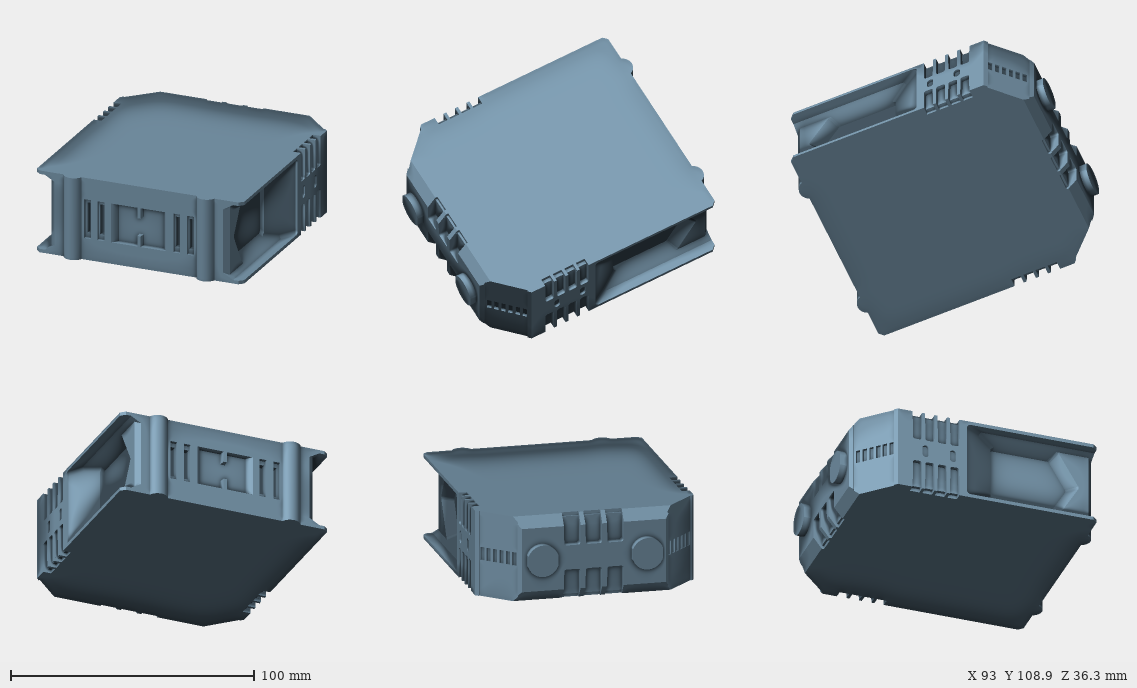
import cadquery as cq
import math

WIDTH = 93.0
HEIGHT = 36.3
BODY_LENGTH = 103.2
HALF_WIDTH = WIDTH / 2
HALF_HEIGHT = HEIGHT / 2
PLATE = 1.5
OVERRUN = 1.1
SELECT_GAP = 0.1

FRONT_CHAMFER = 1.9
CORNER_Y = 87.4
DIAGONAL_ANGLE = 45
BACK_HALF_WIDTH = HALF_WIDTH - (BODY_LENGTH - CORNER_Y)
BACK_CHAMFER_LENGTH = 3.6
BACK_CHAMFER_DEPTH = 4.6

PANEL_Y = (88.7, 101.8)
PANEL_DEPTH = 0.5
GROOVE_CENTRE_Y = 95.0
GROOVE_COUNT = 6
GROOVE_PITCH = 3.0
GROOVE_WIDTH = 2.0
GROOVE_DEPTH = 1.2
GROOVE_HEIGHT = 5.8

FOOT_X = 29.8
FOOT_RADIUS = 4.4
FOOT_PROJECTION = 2.7

STUD_X = 22.2
STUD_DIAMETER = 13.5
STUD_FLATS = 12.6
STUD_PROJECTION = 3.0

VENT_LENGTH = 13.0
VENT_FLARE = 0.16
VENT_FILLET = 1.0
SIDE_VENT_Y = 70.7
SIDE_VENT_COUNT = 4
SIDE_VENT_PITCH = 5.5
SIDE_VENT_WIDTH = 3.8
SIDE_VENT_DEPTH = 2.0
SIDE_VENT_PLATE_DEPTH = 3.5
BACK_VENT_COUNT = 3
BACK_VENT_PITCH = 9.2
BACK_VENT_WIDTH = 6.9
BACK_VENT_DEPTH = 3.7
BACK_VENT_PLATE_DEPTH = 4.6

DIMPLE_Y = (63.3, 75.3)
DIMPLE_WIDTH = 2.7
DIMPLE_HEIGHT = 5.5
DIMPLE_DEPTH = 1.1

POCKET_BACK_Y = 57.2
POCKET_DEPTH = 11.0
POCKET_RIM = 1.1
POCKET_SLOPE_END = (9.3, 43.7)
POCKET_STRAIGHT = 4.3
POCKET_HALF_HEIGHT = HALF_HEIGHT - PLATE
POCKET_FLOOR_HALF_HEIGHT = 12.8
POCKET_CORNER = 1.6
CHEVRON_CORNER = 1.6
SHELF_DEPTH = 6.5
SHELF_CHAMFER = (2.2, 1.9)
CHEVRON_TIP_Y = 5.9
CHEVRON_RISE = 0.6
CHEVRON_TIP_ROUND = 1.6
CHEVRON_LEAN = 0.95

WINDOW_HALF_WIDTH = 12.5
WINDOW_HALF_HEIGHT = 8.6
WINDOW_DEPTH = 2.8
WINDOW_FLOOR_HALF_WIDTH = 10.2
WINDOW_WALL_RADIUS = 5.0
RIB_LENGTH = 4.7
RIB_BASE_WIDTH = 2.1
RIB_TOP_WIDTH = 1.4
FRONT_VENT_X = (17.0, 23.1)
FRONT_VENT_WIDTH = 3.0
FRONT_VENT_LEDGE_DEPTH = 1.6
FRONT_VENT_DEPTH = 4.4
FRONT_VENT_INNER_LEDGE = 0.3
FRONT_VENT_OUTER_LEDGE = (0.3, 0.9)
FRONT_VENT_END_LEDGE = 1.9


def both_sides(shape):
    """The shape together with its mirror image in x."""
    return shape.union(shape.mirror("YZ"))


def top_and_bottom(shape):
    """The shape together with its mirror image in z."""
    return shape.union(shape.mirror("XY"))


def slab(points, height):
    """Plan outline extruded evenly about z = 0."""
    return cq.Workplane("XY").polyline(points).close().extrude(height / 2, both=True)


def mirrored_box(low, high):
    """Selector for edges centred inside a box or inside its mirror image in z."""
    upper = cq.selectors.BoxSelector(low, high)
    lower = cq.selectors.BoxSelector((low[0], low[1], -high[2]), (high[0], high[1], -low[2]))
    return upper + lower


def make_body():
    body = slab(
        [
            (HALF_WIDTH, FRONT_CHAMFER),
            (HALF_WIDTH, CORNER_Y),
            (BACK_HALF_WIDTH, BODY_LENGTH),
            (-BACK_HALF_WIDTH, BODY_LENGTH),
            (-HALF_WIDTH, CORNER_Y),
            (-HALF_WIDTH, FRONT_CHAMFER),
            (FRONT_CHAMFER - HALF_WIDTH, 0),
            (HALF_WIDTH - FRONT_CHAMFER, 0),
        ],
        HEIGHT,
    )
    edge_wedge = (
        cq.Workplane("YZ")
        .polyline(
            [
                (BODY_LENGTH - BACK_CHAMFER_LENGTH, HALF_HEIGHT),
                (BODY_LENGTH, HALF_HEIGHT),
                (BODY_LENGTH, HALF_HEIGHT - BACK_CHAMFER_DEPTH),
            ]
        )
        .close()
        .extrude(HALF_WIDTH, both=True)
    )
    return body.cut(top_and_bottom(edge_wedge))


def make_feet():
    foot = cq.Workplane("XY").circle(FOOT_RADIUS).extrude(HALF_HEIGHT, both=True)
    return both_sides(foot.translate((FOOT_X, FOOT_RADIUS - FOOT_PROJECTION, 0)))


def make_studs():
    start = cq.Workplane("XZ", origin=(STUD_X, BODY_LENGTH, 0))
    stud = start.circle(STUD_DIAMETER / 2).extrude(-STUD_PROJECTION)
    flats = start.rect(STUD_FLATS, STUD_DIAMETER).extrude(-STUD_PROJECTION)
    return both_sides(stud.intersect(flats))


def make_diagonal_panels():
    """Shallow panel with finger grooves, cut into each diagonal face."""
    low_y, high_y = PANEL_Y
    edge_sum = HALF_WIDTH + CORNER_Y
    step = PANEL_DEPTH / math.sqrt(2)
    low_x, high_x = edge_sum - low_y, edge_sum - high_y
    cutter = slab(
        [
            (low_x + OVERRUN, low_y + OVERRUN),
            (high_x + OVERRUN, high_y + OVERRUN),
            (high_x - step, high_y - step),
            (low_x - step, low_y - step),
        ],
        HEIGHT,
    )
    groove = cq.Workplane("XY").box(2 * (PANEL_DEPTH + GROOVE_DEPTH), GROOVE_WIDTH, GROOVE_HEIGHT)
    for index in range(GROOVE_COUNT):
        along = (index - (GROOVE_COUNT - 1) / 2) * GROOVE_PITCH
        placed = groove.translate((0, along, 0)).rotate((0, 0, 0), (0, 0, 1), DIAGONAL_ANGLE)
        cutter = cutter.union(placed.translate((edge_sum - GROOVE_CENTRE_Y, GROOVE_CENTRE_Y, 0)))
    return both_sides(cutter)


def make_vent(width, depth, plate_depth):
    """Vent cutter running in from the top and bottom edges of a wall at y = 0; depth is along +y."""
    half = width / 2
    mouth = half + VENT_FLARE
    bottom = HALF_HEIGHT - VENT_LENGTH
    slot = (
        cq.Workplane("XZ", origin=(0, depth, 0))
        .polyline([(-half, bottom), (half, bottom), (mouth, HALF_HEIGHT), (-mouth, HALF_HEIGHT)])
        .close()
        .extrude(depth)
        .edges("|Y and <Z")
        .fillet(VENT_FILLET)
    )
    plate_notch = cq.Workplane("XY").box(2 * mouth, plate_depth, PLATE, centered=(True, False, False))
    return top_and_bottom(slot.union(plate_notch.translate((0, 0, HALF_HEIGHT - PLATE))))


def make_vents():
    side_vent = make_vent(SIDE_VENT_WIDTH, SIDE_VENT_DEPTH, SIDE_VENT_PLATE_DEPTH)
    side_vent = side_vent.rotate((0, 0, 0), (0, 0, 1), -90)
    back_vent = make_vent(BACK_VENT_WIDTH, BACK_VENT_DEPTH, BACK_VENT_PLATE_DEPTH).mirror("XZ")
    vents = cq.Workplane("XY")
    for index in range(SIDE_VENT_COUNT):
        y = SIDE_VENT_Y + (index - (SIDE_VENT_COUNT - 1) / 2) * SIDE_VENT_PITCH
        vents = vents.add(both_sides(side_vent.translate((-HALF_WIDTH, y, 0))))
    for index in range(BACK_VENT_COUNT):
        x = (index - (BACK_VENT_COUNT - 1) / 2) * BACK_VENT_PITCH
        vents = vents.add(back_vent.translate((x, BODY_LENGTH, 0)))
    return vents.combine()


def make_dimples():
    dimples = (
        cq.Workplane("YZ", origin=(-HALF_WIDTH, 0, 0))
        .pushPoints([(y, 0) for y in DIMPLE_Y])
        .slot2D(DIMPLE_HEIGHT, DIMPLE_WIDTH, 90)
        .extrude(DIMPLE_DEPTH)
    )
    return both_sides(dimples)


def chevron_points(depth):
    """Outline in (y, z) of the raised floor at a given pocket depth."""
    tip = CHEVRON_TIP_Y + CHEVRON_LEAN * (depth - SHELF_DEPTH)
    arm = tip + CHEVRON_RISE * HALF_HEIGHT
    return [
        (-OVERRUN, -HALF_HEIGHT),
        (arm, -HALF_HEIGHT),
        (tip, 0),
        (arm, HALF_HEIGHT),
        (-OVERRUN, HALF_HEIGHT),
    ]


def make_pockets():
    """Side pockets; built with x as the depth, then moved to the -X wall and mirrored."""
    slope_depth, slope_y = POCKET_SLOPE_END
    plan = slab(
        [
            (-OVERRUN, -OVERRUN),
            (-OVERRUN, POCKET_BACK_Y),
            (POCKET_RIM, POCKET_BACK_Y),
            (slope_depth, slope_y),
            (POCKET_DEPTH, slope_y),
            (POCKET_DEPTH, -OVERRUN),
        ],
        HEIGHT,
    )
    section = (
        cq.Workplane("XZ", origin=(0, -OVERRUN, 0))
        .polyline(
            [
                (-OVERRUN, -POCKET_HALF_HEIGHT),
                (POCKET_STRAIGHT, -POCKET_HALF_HEIGHT),
                (POCKET_DEPTH, -POCKET_FLOOR_HALF_HEIGHT),
                (POCKET_DEPTH, POCKET_FLOOR_HALF_HEIGHT),
                (POCKET_STRAIGHT, POCKET_HALF_HEIGHT),
                (-OVERRUN, POCKET_HALF_HEIGHT),
            ]
        )
        .close()
        .extrude(-POCKET_BACK_Y - 2 * OVERRUN)
    )
    pocket = plan.intersect(section)
    back_corners = mirrored_box(
        (-2 * OVERRUN, slope_y - OVERRUN, POCKET_FLOOR_HALF_HEIGHT - OVERRUN),
        (POCKET_DEPTH - SELECT_GAP, POCKET_BACK_Y + OVERRUN, HALF_HEIGHT),
    )
    pocket = pocket.edges(back_corners).fillet(POCKET_CORNER)

    shelf_end = POCKET_DEPTH + OVERRUN
    shelf = (
        cq.Workplane("YZ", origin=(SHELF_DEPTH, 0, 0))
        .polyline(chevron_points(SHELF_DEPTH))
        .close()
        .workplane(offset=shelf_end - SHELF_DEPTH)
        .polyline(chevron_points(shelf_end))
        .close()
        .loft(ruled=True)
    )
    tip_edge = cq.selectors.BoxSelector(
        (SHELF_DEPTH + SELECT_GAP, OVERRUN, -SELECT_GAP),
        (shelf_end - SELECT_GAP, POCKET_BACK_Y, SELECT_GAP),
    )
    chamfer_depth, chamfer_length = SHELF_CHAMFER
    shelf_wedge = slab(
        [
            (SHELF_DEPTH, chamfer_length),
            (SHELF_DEPTH + chamfer_depth, 0),
            (SHELF_DEPTH + chamfer_depth, -OVERRUN),
            (SHELF_DEPTH, -OVERRUN),
        ],
        HEIGHT,
    )
    shelf = shelf.edges(tip_edge).fillet(CHEVRON_TIP_ROUND).cut(shelf_wedge)
    arm_y = CHEVRON_TIP_Y + CHEVRON_RISE * POCKET_HALF_HEIGHT
    shelf_corners = mirrored_box(
        (SHELF_DEPTH + SELECT_GAP, arm_y - SHELF_DEPTH / 2, POCKET_FLOOR_HALF_HEIGHT),
        (POCKET_DEPTH - SELECT_GAP, arm_y + SHELF_DEPTH / 2, HALF_HEIGHT),
    )
    pocket = pocket.cut(shelf).edges(shelf_corners).fillet(CHEVRON_CORNER)
    return both_sides(pocket.translate((-HALF_WIDTH, 0, 0)))


def make_window():
    """Front recess with rounded side walls and two short ribs left standing in it."""
    window = (
        cq.Workplane("XY")
        .moveTo(-WINDOW_HALF_WIDTH, 0)
        .radiusArc((-WINDOW_FLOOR_HALF_WIDTH, WINDOW_DEPTH), -WINDOW_WALL_RADIUS)
        .lineTo(WINDOW_FLOOR_HALF_WIDTH, WINDOW_DEPTH)
        .radiusArc((WINDOW_HALF_WIDTH, 0), -WINDOW_WALL_RADIUS)
        .close()
        .extrude(WINDOW_HALF_HEIGHT, both=True)
    )
    rib = (
        cq.Workplane("XY")
        .polyline(
            [
                (-RIB_TOP_WIDTH / 2, 0),
                (RIB_TOP_WIDTH / 2, 0),
                (RIB_BASE_WIDTH / 2, WINDOW_DEPTH),
                (-RIB_BASE_WIDTH / 2, WINDOW_DEPTH),
            ]
        )
        .close()
        .extrude(RIB_LENGTH)
        .translate((0, 0, WINDOW_HALF_HEIGHT - RIB_LENGTH))
    )
    return window.cut(top_and_bottom(rib))


def make_front_vents():
    """Upright slots beside the front recess, each with a ledge around a deeper core."""
    face = cq.Workplane("XZ")
    vent_height = 2 * WINDOW_HALF_HEIGHT
    core_height = vent_height - 2 * FRONT_VENT_END_LEDGE
    vents = cq.Workplane("XY")
    for x, outer_ledge in zip(FRONT_VENT_X, FRONT_VENT_OUTER_LEDGE):
        core_width = FRONT_VENT_WIDTH - FRONT_VENT_INNER_LEDGE - outer_ledge
        core_x = x + (FRONT_VENT_INNER_LEDGE - outer_ledge) / 2
        mouth = face.center(x, 0).rect(FRONT_VENT_WIDTH, vent_height).extrude(-FRONT_VENT_LEDGE_DEPTH)
        core = face.center(core_x, 0).rect(core_width, core_height).extrude(-FRONT_VENT_DEPTH)
        vents = vents.add(both_sides(mouth.union(core)))
    return vents.combine()


result = (
    make_body()
    .union(make_feet())
    .union(make_studs())
    .cut(make_diagonal_panels())
    .cut(make_vents())
    .cut(make_dimples())
    .cut(make_pockets())
    .cut(make_window())
    .cut(make_front_vents())
)